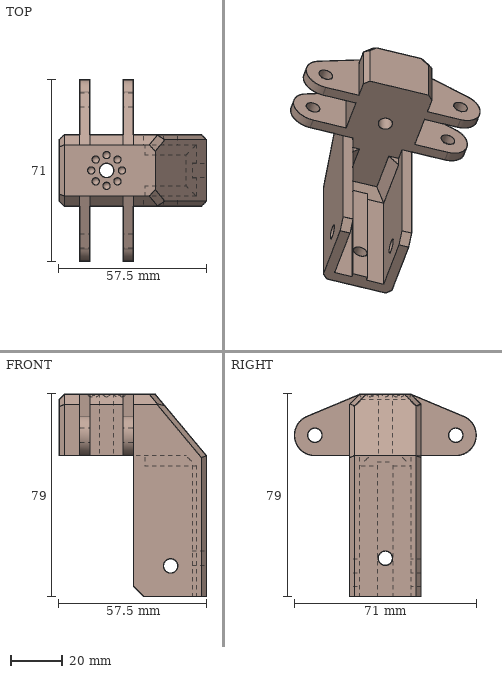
import cadquery as cq
import math

total_height = 79.0
head_height = 24.0
body_width = 28.0
head_front_x = -18.5
back_x = 39.0
slope_start_x = 19.0
head_bottom_z = total_height - head_height

long_chamfer = 4.0
end_chamfer = 2.0

bolt_diameter = 5.5

lug_thickness = 4.0
lug_gap = 13.0
lug_radius = 8.0
lug_hole_y = 27.5
lug_inner_x = lug_gap / 2
lug_outer_x = lug_inner_x + lug_thickness

wall = 4.0
rail_width = body_width - 2 * wall
upright_front_x = lug_outer_x
channel_back_x = back_x - wall
seat_front_x = channel_back_x - rail_width
side_bolt_x = (seat_front_x + channel_back_x) / 2
side_bolt_z = 12.0
back_bolt_z = 15.0
rib_width = 6.0
rib_height = 1.5

dimple_count = 8
dimple_sphere_diameter = 3.0
dimple_sphere_lift = 0.5
dimple_ring_radius = 6.0

OVERLAP = 1.0


def make_body():
    """Head and upright in one extruded profile, with bevelled front, back and long top edges."""
    body = (
        cq.Workplane("XZ")
        .moveTo(head_front_x, head_bottom_z)
        .lineTo(head_front_x, total_height)
        .lineTo(slope_start_x, total_height)
        .lineTo(back_x, head_bottom_z)
        .lineTo(back_x, 0)
        .lineTo(upright_front_x + long_chamfer, 0)
        .lineTo(upright_front_x, long_chamfer)
        .lineTo(upright_front_x, head_bottom_z)
        .close()
        .extrude(body_width / 2, both=True)
    )
    body = body.faces(">Z").edges("|X").chamfer(long_chamfer)

    body = body.faces("<X").edges("not <Z").chamfer(end_chamfer)

    slope_direction = cq.Vector(head_height, 0, back_x - slope_start_x)
    sloped_edges = body.faces(cq.selectors.DirectionMinMaxSelector(slope_direction, True)).edges("not |Y")
    back_edges = body.faces(">X").edges("|Z")
    return body.newObject(sloped_edges.vals() + back_edges.vals()).chamfer(end_chamfer)


def make_lug_pair(inner_x):
    """Plate across the head with a rounded, tapered ear and a bolt hole on each side."""
    shoulder_y = body_width / 2 - long_chamfer
    center_z = head_bottom_z + lug_radius

    run = lug_hole_y - shoulder_y
    rise = total_height - center_z
    tangent_angle = math.atan2(rise, -run) - math.acos(lug_radius / math.hypot(run, rise))
    tangent_y = lug_hole_y + lug_radius * math.cos(tangent_angle)
    tangent_z = center_z + lug_radius * math.sin(tangent_angle)
    tip_y = lug_hole_y + lug_radius

    return (
        cq.Workplane("YZ", origin=(inner_x, 0, 0))
        .moveTo(-shoulder_y, total_height)
        .lineTo(shoulder_y, total_height)
        .lineTo(tangent_y, tangent_z)
        .threePointArc((tip_y, center_z), (lug_hole_y, head_bottom_z))
        .lineTo(-lug_hole_y, head_bottom_z)
        .threePointArc((-tip_y, center_z), (-tangent_y, tangent_z))
        .close()
        .pushPoints([(-lug_hole_y, center_z), (lug_hole_y, center_z)])
        .circle(bolt_diameter / 2)
        .extrude(lug_thickness)
    )


def make_channel():
    """Square rail seat with a roof bevelled at its sides and back, opened to the front, less the rib."""
    seat = (
        cq.Workplane("XY", origin=(side_bolt_x, 0, -OVERLAP))
        .rect(rail_width, rail_width)
        .extrude(head_bottom_z + OVERLAP)
        .faces(">Z")
        .edges("not <X")
        .chamfer(long_chamfer)
    )
    mouth_length = seat_front_x - upright_front_x + OVERLAP
    mouth = (
        cq.Workplane("XY", origin=(seat_front_x - mouth_length / 2, 0, -OVERLAP))
        .rect(mouth_length, rail_width)
        .extrude(head_bottom_z + OVERLAP)
    )
    rib = (
        cq.Workplane("XY", origin=(channel_back_x - rib_height / 2, 0, -OVERLAP))
        .rect(rib_height, rib_width)
        .extrude(total_height)
    )
    return seat.union(mouth).cut(rib)


def make_bolt_holes():
    """Vertical pivot hole, cross hole through the side walls and hole through the back wall."""
    pivot = cq.Workplane("XY").circle(bolt_diameter / 2).extrude(total_height)
    side = (
        cq.Workplane("XZ")
        .center(side_bolt_x, side_bolt_z)
        .circle(bolt_diameter / 2)
        .extrude(body_width, both=True)
    )
    back = (
        cq.Workplane("YZ")
        .center(0, back_bolt_z)
        .circle(bolt_diameter / 2)
        .extrude(back_x)
    )
    return pivot.union(side).union(back)


def make_dimples():
    """Shallow spherical dimples in the top face, evenly spaced around the pivot hole."""
    return (
        cq.Workplane("XY", origin=(0, 0, total_height + dimple_sphere_lift))
        .polarArray(dimple_ring_radius, 0, 360, dimple_count)
        .sphere(dimple_sphere_diameter / 2)
    )


result = make_body()
for inner_x in (lug_inner_x, -lug_outer_x):
    result = result.union(make_lug_pair(inner_x))
result = result.cut(make_channel()).cut(make_bolt_holes()).cut(make_dimples())